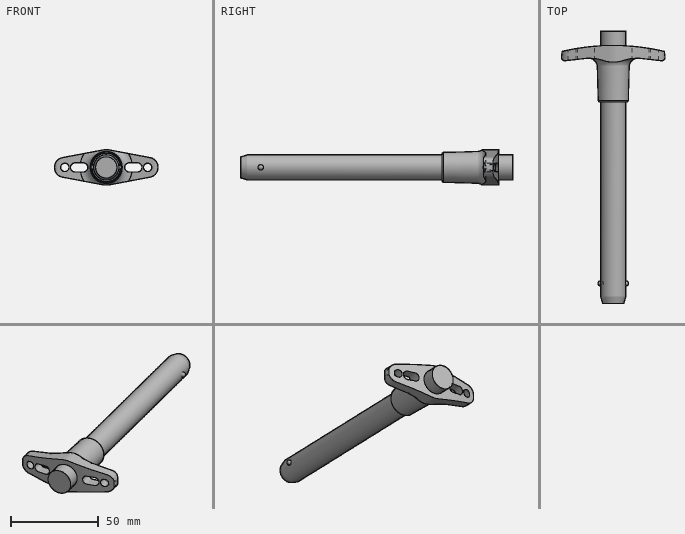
import cadquery as cq
import math

length = 155.2

pin_diameter = 14.5
pin_radius = pin_diameter / 2
tip_radius = 6.0
tip_taper_length = 3.9

ball_radius = 1.5
ball_y = 11.5

collar_end_y = 114.8
collar_chamfer_length = 0.8
collar_chamfer = 0.6
collar_band_length = 2.0
collar_end_radius = 8.7
collar_waist_y = collar_end_y + collar_chamfer_length + collar_band_length
collar_shoulder_y = 134.4
collar_shoulder_radius = 9.2
shoulder_band_length = 1.1

flare_start_y = collar_shoulder_y + shoulder_band_length
flare_end_y = 139.7
flare_outer_radius = 14.9
flare_core_height = 1.5

handle_top_y = length - 8.0
handle_span = 59.1
handle_half_span = handle_span / 2
handle_width = 20.3
handle_mid_radius = handle_width / 2
handle_end_radius = 5.7
handle_top_drop = 3.4
handle_top_corner_x = 29.2
handle_rounding_start_y = 140.6
handle_rounding_mid = (29.0, 138.9)
handle_bottom_corner = (27.6, 138.3)
handle_bottom_inner = (12.4, 140.0)

hole_x = 23.6
hole_radius = 2.3
slot_inner_x = 10.5
slot_outer_x = 20.3
slot_width = 5.1


def make_pin():
    """Pin with a tapered tip, running through to the push button."""
    profile = (
        cq.Workplane("XY")
        .lineTo(tip_radius, 0)
        .lineTo(pin_radius, tip_taper_length)
        .lineTo(pin_radius, length)
        .lineTo(0, length)
        .close()
    )
    return profile.revolve(360, (0, 0, 0), (0, 1, 0))


def make_collar():
    """Tapered collar with a chamfered end and a concave flare under the handle."""
    flare_width = flare_outer_radius - collar_shoulder_radius
    flare_height = flare_end_y - flare_start_y
    flare_mid = (
        flare_outer_radius - flare_width * math.sin(math.radians(45)),
        flare_end_y - flare_height * (1 - math.sin(math.radians(45))),
    )
    profile = (
        cq.Workplane("XY")
        .moveTo(0, collar_end_y)
        .lineTo(collar_end_radius - collar_chamfer, collar_end_y)
        .lineTo(collar_end_radius, collar_end_y + collar_chamfer_length)
        .lineTo(collar_end_radius, collar_waist_y)
        .lineTo(collar_shoulder_radius, collar_shoulder_y)
        .lineTo(collar_shoulder_radius, flare_start_y)
        .threePointArc(flare_mid, (flare_outer_radius, flare_end_y))
        .lineTo(flare_outer_radius, flare_end_y + flare_core_height)
        .lineTo(0, flare_end_y + flare_core_height)
        .close()
    )
    return profile.revolve(360, (0, 0, 0), (0, 1, 0))


def make_outline():
    """Prism along Y: a centre circle and two end circles joined by tangent lines."""
    end_x = handle_half_span - handle_end_radius
    tangent_sin = (handle_mid_radius - handle_end_radius) / end_x
    tangent_cos = math.sqrt(1 - tangent_sin**2)
    mid_x = handle_mid_radius * tangent_sin
    mid_z = handle_mid_radius * tangent_cos
    end_tangent_x = end_x + handle_end_radius * tangent_sin
    end_tangent_z = handle_end_radius * tangent_cos
    outline = (
        cq.Workplane("XZ")
        .moveTo(-mid_x, mid_z)
        .threePointArc((0, handle_mid_radius), (mid_x, mid_z))
        .lineTo(end_tangent_x, end_tangent_z)
        .threePointArc((handle_half_span, 0), (end_tangent_x, -end_tangent_z))
        .lineTo(mid_x, -mid_z)
        .threePointArc((0, -handle_mid_radius), (-mid_x, -mid_z))
        .lineTo(-end_tangent_x, -end_tangent_z)
        .threePointArc((-handle_half_span, 0), (-end_tangent_x, end_tangent_z))
        .close()
    )
    return outline.extrude(-length)


def make_arms():
    """Arched bar across X with rounded lower ends, wide enough in Z to be trimmed."""
    bottom_x, bottom_y = handle_bottom_corner
    inner_x, inner_y = handle_bottom_inner
    round_x, round_y = handle_rounding_mid
    top_corner_y = handle_top_y - handle_top_drop
    profile = (
        cq.Workplane("XY")
        .moveTo(-handle_top_corner_x, top_corner_y)
        .threePointArc((0, handle_top_y), (handle_top_corner_x, top_corner_y))
        .lineTo(handle_half_span, handle_rounding_start_y)
        .threePointArc((round_x, round_y), (bottom_x, bottom_y))
        .lineTo(inner_x, inner_y)
        .lineTo(-inner_x, inner_y)
        .lineTo(-bottom_x, bottom_y)
        .threePointArc((-round_x, round_y), (-handle_half_span, handle_rounding_start_y))
        .close()
    )
    return profile.extrude(handle_width, both=True)


def make_arm_holes():
    """Round hole and slot through both arms, running along Y."""
    slot_x = (slot_inner_x + slot_outer_x) / 2
    slot_length = slot_outer_x - slot_inner_x
    holes = cq.Workplane("XZ").pushPoints([(-hole_x, 0), (hole_x, 0)]).circle(hole_radius)
    slots = cq.Workplane("XZ").pushPoints([(-slot_x, 0), (slot_x, 0)]).slot2D(slot_length, slot_width)
    return holes.extrude(-length).union(slots.extrude(-length))


def make_balls():
    """Two locking balls half sunk in opposite sides of the pin."""
    centres = [(-pin_radius, ball_y), (pin_radius, ball_y)]
    return cq.Workplane("XY").pushPoints(centres).sphere(ball_radius)


handle = make_arms().union(make_collar()).intersect(make_outline()).cut(make_arm_holes())
result = handle.union(make_pin()).union(make_balls())